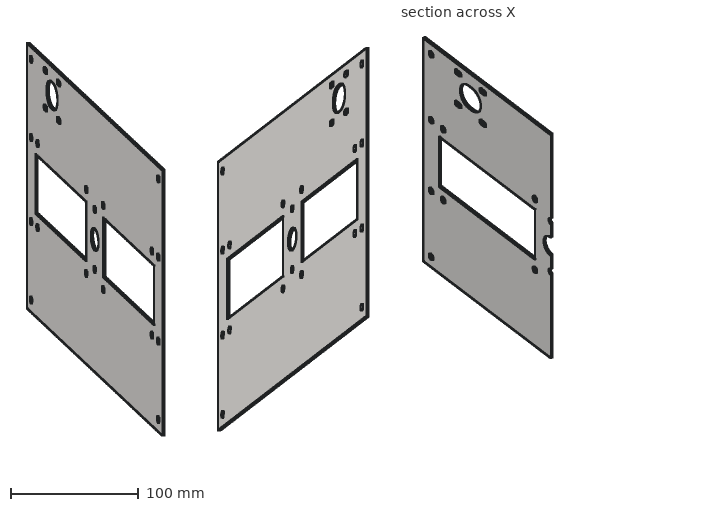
import cadquery as cq

panel_width = 320.0
panel_height = 220.0
panel_thickness = 1.95

screw_diameter = 5.5
edge_screw_x = 150.0
corner_screw_z = 100.0
window_screw_z = 35.0
window_screw_outer_x = 135.0

window_width = 120.0
window_height = 49.3
window_gap = 40.0
window_inner_x = window_gap / 2
window_x = window_inner_x + window_width / 2

center_diameter = 18.0
center_screw_z = 25.0

connector_x = -100.8
connector_z = 86.0
connector_travel = 4.0
connector_diameter = 22.0
mount_slot_diameter = 4.0
mount_slot_pitch = 31.0


def front_plane():
    """Sketch plane at mid-thickness, with local x along X and local y along Z."""
    return cq.Workplane("XZ")


def cut_through(body, outline):
    """Cut a closed outline through the whole panel."""
    return body.cut(outline.extrude(panel_thickness, both=True))


def mirrored(x, z):
    """Four points placed symmetrically about both centre lines."""
    return [(side * x, level * z) for side in (-1, 1) for level in (-1, 1)]


def slot(points, diameter):
    """Horizontal slots whose end arcs are one connector travel apart."""
    return front_plane().pushPoints(points).slot2D(connector_travel + diameter, diameter)


result = front_plane().rect(panel_width, panel_height).extrude(panel_thickness / 2, both=True)

windows = front_plane().pushPoints([(-window_x, 0), (window_x, 0)]).rect(window_width, window_height)
result = cut_through(result, windows)

screw_points = [(0, -center_screw_z), (0, center_screw_z)]
screw_points += mirrored(edge_screw_x, corner_screw_z)
for screw_x in (edge_screw_x, window_screw_outer_x, window_inner_x):
    screw_points += mirrored(screw_x, window_screw_z)
result = cut_through(result, front_plane().pushPoints(screw_points).circle(screw_diameter / 2))

result = cut_through(result, front_plane().circle(center_diameter / 2))

result = cut_through(result, slot([(connector_x, connector_z)], connector_diameter))
mount_points = [
    (connector_x + offset_x, connector_z + offset_z)
    for offset_x, offset_z in mirrored(mount_slot_pitch / 2, mount_slot_pitch / 2)
]
result = cut_through(result, slot(mount_points, mount_slot_diameter))